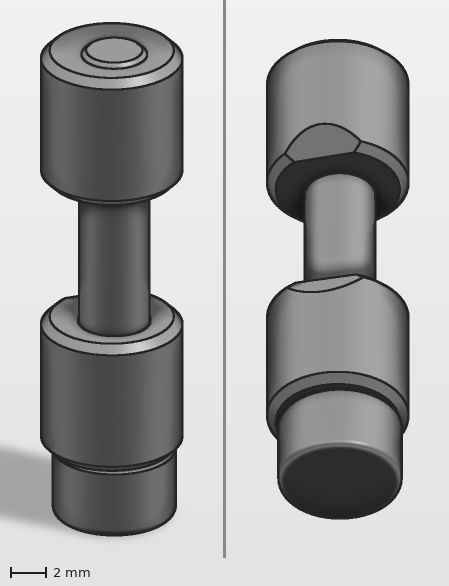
import cadquery as cq
import math

collar_diameter = 8.0
collar_height = 8.0
collar_chamfer = 0.5
flat_depth = 0.95
flat_angle = 60.0
lower_collar_turn = 2.2
lower_bore_diameter = 4.12

total_height = 29.0
head_diameter = 7.0
head_height = 4.0
head_fillet = 0.44
shank_diameter = 4.0
tip_chamfer = 0.4
tip_protrusion = 0.25

collar_radius = collar_diameter / 2
pin_offset = (collar_diameter - head_diameter) / 2
lower_collar_base = head_height
upper_collar_base = total_height - tip_protrusion - collar_height


def make_pin():
    """Headed pin standing on its head, with a chamfered tip."""
    head = (
        cq.Workplane("XY")
        .circle(head_diameter / 2)
        .extrude(head_height)
        .faces("<Z").edges().fillet(head_fillet)
    )
    shank = (
        cq.Workplane("XY")
        .circle(shank_diameter / 2)
        .extrude(total_height)
        .faces(">Z").edges().chamfer(tip_chamfer)
    )
    return head.union(shank).translate((pin_offset, 0, 0))


def make_collar_blank():
    """Chamfered cylinder with a slanted flat at the -X side of its top face."""
    flat_height = flat_depth * math.tan(math.radians(flat_angle))
    wedge = (
        cq.Workplane("XZ")
        .moveTo(-collar_radius, collar_height - flat_height)
        .lineTo(-collar_radius + flat_depth, collar_height)
        .lineTo(-collar_radius, collar_height)
        .close()
        .extrude(collar_radius, both=True)
    )
    return (
        cq.Workplane("XY")
        .circle(collar_radius)
        .extrude(collar_height)
        .edges().chamfer(collar_chamfer)
        .cut(wedge)
    )


pin = make_pin()

lower_bore = (
    cq.Workplane("XY")
    .center(pin_offset, 0)
    .circle(lower_bore_diameter / 2)
    .extrude(total_height)
)
lower_collar = (
    make_collar_blank()
    .rotate((0, 0, 0), (0, 0, 1), lower_collar_turn)
    .translate((0, 0, lower_collar_base))
    .cut(lower_bore)
)
upper_collar = (
    make_collar_blank()
    .mirror("XY")
    .translate((0, 0, upper_collar_base + collar_height))
    .cut(pin)
)

result = cq.Compound.makeCompound([pin.val(), lower_collar.val(), upper_collar.val()])